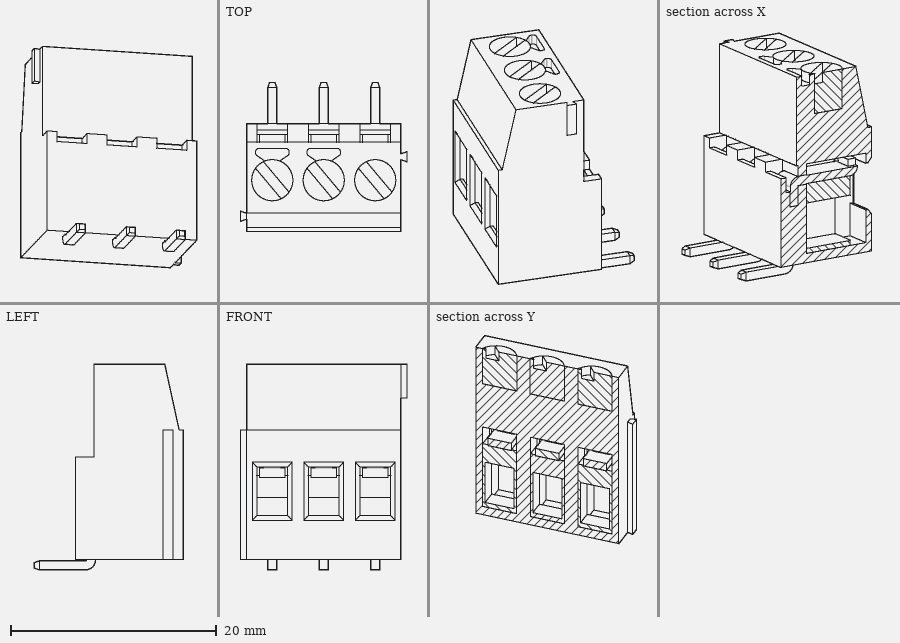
import cadquery as cq
import math


POLES = 3
PITCH = 5
BODY_WIDTH = POLES * PITCH
POLE_CENTRES = [PITCH * (i + 0.5) for i in range(POLES)]

TOP_Z = 19
BODY_DEPTH = 10.5
FRONT_LEDGE_Z = 12.6
FRONT_LEDGE_DEPTH = 0.4
TOP_FRONT_Y = 1.8
STEP_Y = 8.7
STEP_Z = 10

RAIL_HEIGHT = 0.6
RAIL_WIDE = 1
RAIL_NARROW = 0.6
LEFT_RAIL_Y = 1.5
RIGHT_RAIL_Y = 7.28
RIGHT_RAIL_BOTTOM_Z = 15.7

OPENING_WIDTH = 3
OPENING_BOTTOM_Z = 4.3
OPENING_TOP_Z = 9
FUNNEL_DEPTH = 0.4
FUNNEL_SIDE_FLARE = 0.45
FUNNEL_END_FLARE = 0.48
CHAMBER_FRONT_Y = 0.7
CHAMBER_BACK_Y = 7.5
CHAMBER_BOTTOM_Z = 1
CHAMBER_TOP_Z = STEP_Z

CAGE_WIDTH = 3.5
CAGE_FRONT_Y = 2.45
CAGE_TOP_Z = 8.15
WINDOW_BOTTOM_Z = 1.5
WINDOW_TOP_Z = 6.05

STRIP = 0.9
PIN_END_Y = 14.5
PIN_BOTTOM_Z = -1
PIN_BEND_RADIUS = -PIN_BOTTOM_Z
PIN_TIP_LENGTH = 0.5
PIN_TIP_SIZE = 0.55
RISER_FRONT_Y = 8.52
RISER_BACK_Y = RISER_FRONT_Y + STRIP
SHOULDER_WIDTH = OPENING_WIDTH
SHOULDER_BOTTOM_Z = 6
SHOULDER_SLOPE_HEIGHT = 0.35
PLATE_WIDTH = 2.5
PLATE_BOTTOM_Z = 8
PLATE_TOP_Z = PLATE_BOTTOM_Z + STRIP
PLATE_FRONT_Y = 1.6
TAB_WIDTH = 1.75
TAB_TOP_Z = 9.6

NOTCH_WIDTH = SHOULDER_WIDTH
NOTCH_SILL_Y = 9.9
NOTCH_SILL_Z = 9
NOTCH_FLOOR_Z = 7.5

SCREW_DIAMETER = 4
SCREW_LENGTH = 4
SCREW_Y = 5
SLOT_WIDTH = 1
SLOT_DEPTH = 1
SLOT_ANGLE = -50

POCKET_HALF_WIDTH = 1.65
POCKET_BACK_Y = 8.08
POCKET_SIDE_Y = 7.5
POCKET_MOUTH_HALF_WIDTH = 0.5
POCKET_MOUTH_Y = 6.7
POCKET_CORNER_RADIUS = 0.35
POCKET_DEPTH = 1


def box_between(x_centre, width, y0, y1, z0, z1):
    """Box centred on x_centre, between two Y and two Z positions."""
    return (
        cq.Workplane("XY")
        .box(width, y1 - y0, z1 - z0)
        .translate((x_centre, (y0 + y1) / 2, (z0 + z1) / 2))
    )


def extrude_across(profile, x_centre, width):
    """Extrude a closed YZ profile along X, centred on x_centre."""
    return profile.extrude(width / 2, both=True).translate((x_centre, 0, 0))


def screw_cylinder(x):
    return (
        cq.Workplane("XY", origin=(x, SCREW_Y, TOP_Z))
        .circle(SCREW_DIAMETER / 2)
        .extrude(-SCREW_LENGTH)
    )


def make_screw(x):
    """Flush plain screw with a slot across its top."""
    slot = (
        cq.Workplane("XY", origin=(x, SCREW_Y, TOP_Z))
        .transformed(rotate=(0, 0, SLOT_ANGLE))
        .rect(2 * SCREW_DIAMETER, SLOT_WIDTH)
        .extrude(-SLOT_DEPTH)
    )
    return screw_cylinder(x).cut(slot)


def make_pin(x):
    """Square pin along +Y that bends up into a riser."""
    shaft_end_y = PIN_END_Y - PIN_TIP_LENGTH
    pin_top_z = PIN_BOTTOM_Z + STRIP
    bend_y = RISER_FRONT_Y + PIN_BEND_RADIUS
    inner_radius = PIN_BEND_RADIUS - STRIP
    diagonal = math.sqrt(0.5)
    profile = (
        cq.Workplane("YZ")
        .moveTo(RISER_FRONT_Y, SHOULDER_BOTTOM_Z)
        .lineTo(RISER_FRONT_Y, 0)
        .threePointArc(
            (bend_y - PIN_BEND_RADIUS * diagonal, -PIN_BEND_RADIUS * diagonal),
            (bend_y, PIN_BOTTOM_Z),
        )
        .lineTo(shaft_end_y, PIN_BOTTOM_Z)
        .lineTo(shaft_end_y, pin_top_z)
        .lineTo(bend_y, pin_top_z)
        .threePointArc(
            (bend_y - inner_radius * diagonal, -inner_radius * diagonal),
            (RISER_BACK_Y, 0),
        )
        .lineTo(RISER_BACK_Y, SHOULDER_BOTTOM_Z)
        .close()
    )
    tip = (
        cq.Workplane("XZ", origin=(x, shaft_end_y, PIN_BOTTOM_Z + STRIP / 2))
        .rect(STRIP, STRIP)
        .workplane(offset=-PIN_TIP_LENGTH)
        .rect(PIN_TIP_SIZE, PIN_TIP_SIZE)
        .loft(ruled=True)
    )
    return extrude_across(profile, x, STRIP).union(tip)


def make_shoulder(x):
    """Wide part of the riser, its upper corners sloping in to the plate width."""
    slope_start_z = PLATE_BOTTOM_Z - SHOULDER_SLOPE_HEIGHT
    return (
        cq.Workplane("XZ", origin=(x, RISER_BACK_Y, 0))
        .moveTo(-SHOULDER_WIDTH / 2, SHOULDER_BOTTOM_Z)
        .lineTo(SHOULDER_WIDTH / 2, SHOULDER_BOTTOM_Z)
        .lineTo(SHOULDER_WIDTH / 2, slope_start_z)
        .lineTo(PLATE_WIDTH / 2, PLATE_BOTTOM_Z)
        .lineTo(-PLATE_WIDTH / 2, PLATE_BOTTOM_Z)
        .lineTo(-SHOULDER_WIDTH / 2, slope_start_z)
        .close()
        .extrude(STRIP)
    )


def make_plate(x):
    """Level plate, rounded over at the back and under at the front, with a tab standing on its front."""
    corner = STRIP * (1 - math.sqrt(0.5))
    profile = (
        cq.Workplane("YZ")
        .moveTo(PLATE_FRONT_Y, PLATE_TOP_Z)
        .threePointArc(
            (PLATE_FRONT_Y + corner, PLATE_BOTTOM_Z + corner),
            (PLATE_FRONT_Y + STRIP, PLATE_BOTTOM_Z),
        )
        .lineTo(RISER_BACK_Y, PLATE_BOTTOM_Z)
        .threePointArc(
            (RISER_BACK_Y - corner, PLATE_TOP_Z - corner),
            (RISER_FRONT_Y, PLATE_TOP_Z),
        )
        .close()
    )
    plate = extrude_across(profile, x, PLATE_WIDTH)
    tab = box_between(x, TAB_WIDTH, PLATE_FRONT_Y, PLATE_FRONT_Y + STRIP, PLATE_TOP_Z, TAB_TOP_Z)
    return plate.union(tab)


def make_terminal(x):
    return make_pin(x).union(make_shoulder(x)).union(make_plate(x))


def make_clamp(x):
    """Cage open front and back; the terminal plate lies in a shallow groove across its top."""
    cage = box_between(x, CAGE_WIDTH, CAGE_FRONT_Y, CHAMBER_BACK_Y, CHAMBER_BOTTOM_Z, CAGE_TOP_Z)
    window = box_between(
        x, OPENING_WIDTH, CAGE_FRONT_Y, CHAMBER_BACK_Y, WINDOW_BOTTOM_Z, WINDOW_TOP_Z
    )
    return cage.cut(window).cut(make_plate(x))


def housing_block():
    profile = cq.Workplane("YZ").polyline(
        [
            (0, 0),
            (BODY_DEPTH, 0),
            (BODY_DEPTH, STEP_Z),
            (STEP_Y, STEP_Z),
            (STEP_Y, TOP_Z),
            (TOP_FRONT_Y, TOP_Z),
            (FRONT_LEDGE_DEPTH, FRONT_LEDGE_Z),
            (0, FRONT_LEDGE_Z),
        ]
    ).close()
    return profile.extrude(BODY_WIDTH)


def rail(x, outward, y, z0, z1):
    """Dovetail rail standing on an end face; outward is -1 for the left end and 1 for the right."""
    x_tip = x + outward * RAIL_HEIGHT
    return (
        cq.Workplane("XY", origin=(0, 0, z0))
        .polyline(
            [
                (x, y - RAIL_NARROW / 2),
                (x_tip, y - RAIL_WIDE / 2),
                (x_tip, y + RAIL_WIDE / 2),
                (x, y + RAIL_NARROW / 2),
            ]
        )
        .close()
        .extrude(z1 - z0)
    )


def wire_opening(x):
    """Funnel in the front face, a short straight throat, and the chamber that holds the cage."""
    height = OPENING_TOP_Z - OPENING_BOTTOM_Z
    funnel = (
        cq.Workplane("XZ", origin=(x, 0, OPENING_BOTTOM_Z + height / 2))
        .rect(OPENING_WIDTH + 2 * FUNNEL_SIDE_FLARE, height + 2 * FUNNEL_END_FLARE)
        .workplane(offset=-FUNNEL_DEPTH)
        .rect(OPENING_WIDTH, height)
        .loft(ruled=True)
    )
    throat = box_between(
        x, OPENING_WIDTH, FUNNEL_DEPTH, CHAMBER_FRONT_Y, OPENING_BOTTOM_Z, OPENING_TOP_Z
    )
    front_room = box_between(
        x, OPENING_WIDTH, CHAMBER_FRONT_Y, CAGE_FRONT_Y, CHAMBER_BOTTOM_Z, CHAMBER_TOP_Z
    )
    cage_room = box_between(
        x, CAGE_WIDTH, CAGE_FRONT_Y, CHAMBER_BACK_Y, CHAMBER_BOTTOM_Z, CHAMBER_TOP_Z
    )
    return funnel.union(throat).union(front_room).union(cage_room)


def rear_notch(x):
    """Notch in the rear step: a slot over the terminal, a floor behind it and a raised sill."""
    slot = box_between(x, NOTCH_WIDTH, RISER_FRONT_Y, RISER_BACK_Y, SHOULDER_BOTTOM_Z, STEP_Z)
    floor_cut = box_between(x, NOTCH_WIDTH, RISER_BACK_Y, NOTCH_SILL_Y, NOTCH_FLOOR_Z, STEP_Z)
    sill_cut = box_between(x, NOTCH_WIDTH, NOTCH_SILL_Y, BODY_DEPTH, NOTCH_SILL_Z, STEP_Z)
    return slot.union(floor_cut).union(sill_cut)


def top_pocket(x):
    """Round-cornered pocket that tapers towards the screw."""
    return (
        cq.Workplane("XY", origin=(x, 0, TOP_Z))
        .polyline(
            [
                (-POCKET_MOUTH_HALF_WIDTH, POCKET_MOUTH_Y),
                (POCKET_MOUTH_HALF_WIDTH, POCKET_MOUTH_Y),
                (POCKET_HALF_WIDTH, POCKET_SIDE_Y),
                (POCKET_HALF_WIDTH, POCKET_BACK_Y),
                (-POCKET_HALF_WIDTH, POCKET_BACK_Y),
                (-POCKET_HALF_WIDTH, POCKET_SIDE_Y),
            ]
        )
        .close()
        .extrude(-POCKET_DEPTH)
        .edges("|Z and (not (<Y))")
        .fillet(POCKET_CORNER_RADIUS)
    )


def make_housing():
    body = housing_block()
    body = body.union(rail(0, -1, LEFT_RAIL_Y, 0, FRONT_LEDGE_Z))
    body = body.union(rail(BODY_WIDTH, 1, RIGHT_RAIL_Y, RIGHT_RAIL_BOTTOM_Z, TOP_Z))
    for x in POLE_CENTRES:
        for cavity in (screw_cylinder(x), wire_opening(x), rear_notch(x), make_terminal(x)):
            body = body.cut(cavity)
    for x in POLE_CENTRES[:-1]:
        body = body.cut(top_pocket(x))
    return body


housing = make_housing()
screws = [make_screw(x).val() for x in POLE_CENTRES]
terminals = [make_terminal(x).val() for x in POLE_CENTRES]
clamps = [make_clamp(x).val() for x in POLE_CENTRES]

result = cq.Compound.makeCompound([housing.val(), *screws, *terminals, *clamps])